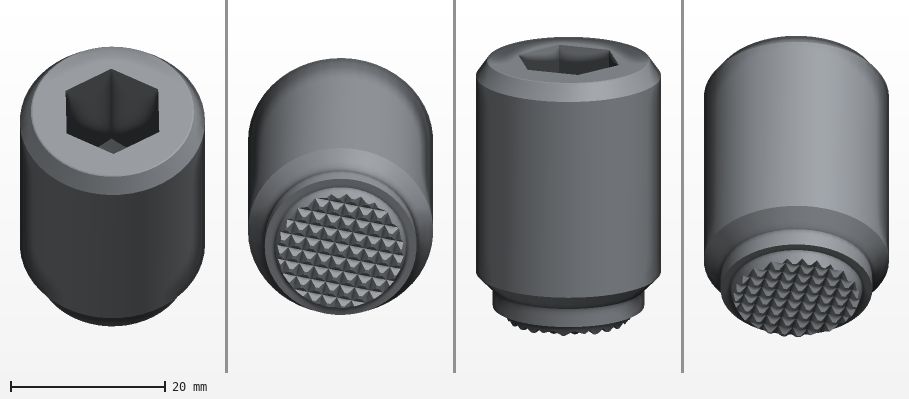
import cadquery as cq
import math

LENGTH = 35.0
SCREW_RADIUS = 12.0
TOP_FACE_RADIUS = 10.4
RIM_RADIUS = 10.57
RIM_HEIGHT = 0.07
TOP_CHAMFER_HEIGHT = 2.1
COLLAR_RADIUS = 9.85
COLLAR_HEIGHT = 2.45

SOCKET_FLATS = 12.0
SOCKET_DEPTH = 15.0
SOCKET_POINT_ANGLE = 120.0

TIP_HEIGHT = 1.8
TIP_BASE_RADIUS = 8.6
TIP_END_RADIUS = 7.95
GROOVE_PITCH = 1.92
GROOVE_DEPTH = 0.75
GROOVE_COUNT = 8
GROOVE_ANGLE = 90.0


def make_screw():
    """Set screw with a plain shank: chamfered at both ends, with a plain collar below."""
    collar_top = TIP_HEIGHT + COLLAR_HEIGHT
    bottom_chamfer = SCREW_RADIUS - COLLAR_RADIUS
    blank = (
        cq.Workplane("XZ")
        .moveTo(0, TIP_HEIGHT)
        .lineTo(COLLAR_RADIUS, TIP_HEIGHT)
        .lineTo(COLLAR_RADIUS, collar_top)
        .lineTo(SCREW_RADIUS, collar_top + bottom_chamfer)
        .lineTo(SCREW_RADIUS, LENGTH - TOP_CHAMFER_HEIGHT)
        .lineTo(RIM_RADIUS, LENGTH - RIM_HEIGHT)
        .lineTo(TOP_FACE_RADIUS, LENGTH)
        .lineTo(0, LENGTH)
        .close()
        .revolve(360, (0, 0), (0, 1))
    )
    return blank.cut(make_socket())


def make_socket():
    """Hexagonal socket with corners on the X axis and a conical drill-point floor."""
    corner_radius = SOCKET_FLATS / math.sqrt(3)
    point_depth = corner_radius / math.tan(math.radians(SOCKET_POINT_ANGLE / 2))
    cone_top = LENGTH - SOCKET_DEPTH
    hexagon = (
        cq.Workplane("XY", origin=(0, 0, LENGTH))
        .polygon(6, 2 * corner_radius)
        .extrude(-(SOCKET_DEPTH + point_depth))
    )
    drill = (
        cq.Workplane("XZ")
        .moveTo(0, cone_top - point_depth)
        .lineTo(corner_radius, cone_top)
        .lineTo(corner_radius, LENGTH)
        .lineTo(0, LENGTH)
        .close()
        .revolve(360, (0, 0), (0, 1))
    )
    return hexagon.intersect(drill)


def make_groove(plane, offset):
    """V groove along the normal of the plane, cut up into the bottom face."""
    half_width = GROOVE_DEPTH * math.tan(math.radians(GROOVE_ANGLE / 2))
    return (
        cq.Workplane(plane)
        .moveTo(offset - half_width, 0)
        .lineTo(offset, GROOVE_DEPTH)
        .lineTo(offset + half_width, 0)
        .close()
        .extrude(TIP_BASE_RADIUS, both=True)
    )


def make_tip():
    """Tapered gripping tip with two crossing sets of V grooves under it."""
    tip = (
        cq.Workplane("XZ")
        .lineTo(TIP_END_RADIUS, 0)
        .lineTo(TIP_BASE_RADIUS, TIP_HEIGHT)
        .lineTo(0, TIP_HEIGHT)
        .close()
        .revolve(360, (0, 0), (0, 1))
    )
    for plane in ("XZ", "YZ"):
        for index in range(GROOVE_COUNT):
            offset = (index - (GROOVE_COUNT - 1) / 2) * GROOVE_PITCH
            tip = tip.cut(make_groove(plane, offset))
    return tip


screw = make_screw()
tip = make_tip()

result = cq.Compound.makeCompound([screw.val(), tip.val()])